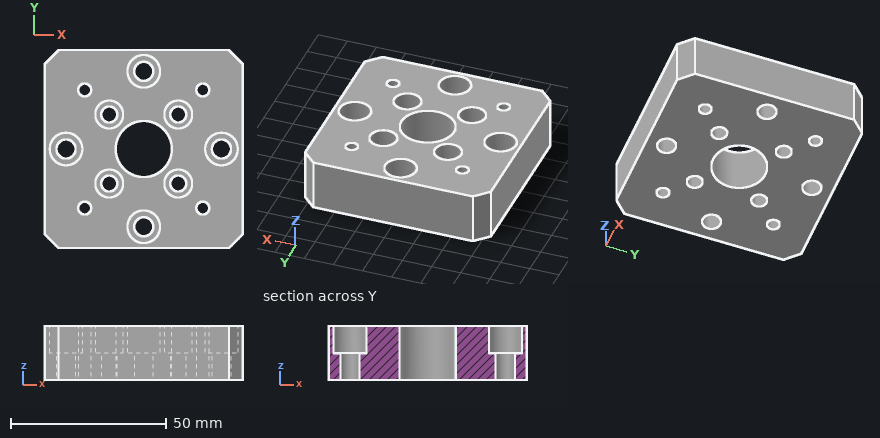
import cadquery as cq

plate_side = 63.77
plate_thickness = 17.5
corner_chamfer = 4.5

center_bore_diameter = 18.0

edge_hole_diameter = 6.1
edge_counterbore_diameter = 10.5
edge_hole_offset = 25.0

inner_hole_diameter = 5.1
inner_counterbore_diameter = 9.0
inner_hole_spacing = 22.2

corner_hole_diameter = 4.1
corner_hole_spacing = 38.0

counterbore_depth = plate_thickness / 2


def square_pattern(spacing):
    """Four points at the corners of a centred square."""
    half = spacing / 2
    return [(x, y) for x in (-half, half) for y in (-half, half)]


def cross_pattern(offset):
    """Four points on the X and Y axes at the same distance from the centre."""
    return [(offset, 0), (0, offset), (-offset, 0), (0, -offset)]


def make_plate():
    """Square plate standing on Z = 0, with chamfered vertical corners."""
    plate = cq.Workplane("XY").box(plate_side, plate_side, plate_thickness, centered=(True, True, False))
    return plate.edges("|Z").chamfer(corner_chamfer)


def top_plane(body):
    """Workplane on the top face, centred on the plate."""
    return body.faces(">Z").workplane(origin=(0, 0, plate_thickness))


def drill(body, points, diameter):
    """Plain through holes."""
    return top_plane(body).pushPoints(points).hole(diameter)


def drill_counterbored(body, points, diameter, counterbore_diameter):
    """Through holes counterbored from the top face."""
    holes = top_plane(body).pushPoints(points)
    return holes.cboreHole(diameter, counterbore_diameter, counterbore_depth)


result = make_plate()
result = drill(result, [(0, 0)], center_bore_diameter)
result = drill(result, square_pattern(corner_hole_spacing), corner_hole_diameter)
result = drill_counterbored(
    result, cross_pattern(edge_hole_offset), edge_hole_diameter, edge_counterbore_diameter
)
result = drill_counterbored(
    result, square_pattern(inner_hole_spacing), inner_hole_diameter, inner_counterbore_diameter
)